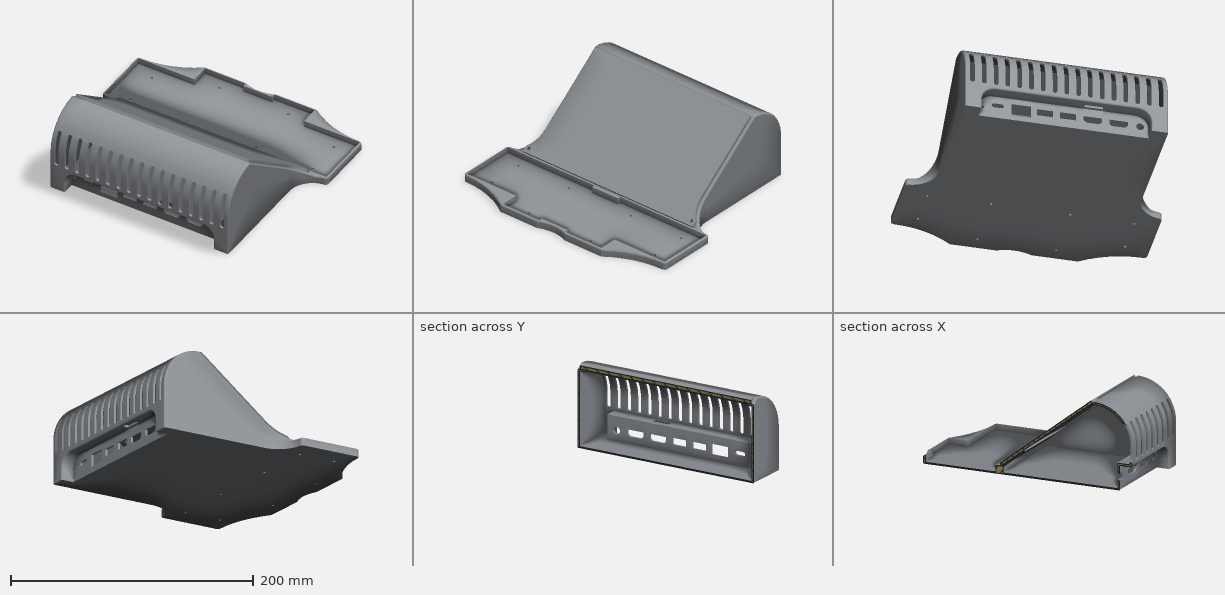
import cadquery as cq
import math

TRAY_WIDTH = 217.2
TOTAL_DEPTH = 194.2
TRAY_HEIGHT = 7.2
TRAY_FRONT_Y = 120.0
SLOPE_FOOT_Y = 119.7
TRAY_SHOULDER_Y = 177.0
TRAY_BACK_HALF_WIDTH = 54.3
TRAY_CORNER_RADIUS = 3.0
BACK_NOTCH_HALF_WIDTH = 15.0
BACK_NOTCH_DEPTH = 3.3

CASE_WIDTH = 172.0
CASE_TOP_RADIUS = 34.8
CASE_ARC_START_Z = 38.0
FLARE_RADIUS = 22.4
EDGE_RADIUS = 1.5
WALL = 2.0
FLOOR = 1.3

CLEAR = 1.0

POCKET_FRONT_Y = 121.8
POCKET_NARROW_HALF_WIDTH = 53.0
TRAY_RIM = 1.63
TRAY_OVERLAP = 8.7
PAD_HALF_WIDTH = 14.0
FRONT_PAD_BACK_Y = 124.7
BACK_PAD_FRONT_Y = 189.0
TRAY_HOLE_DIAMETER = 2.2
OUTER_HOLE_X = 87.7
INNER_HOLE_X = 33.5
FRONT_HOLE_Y = 131.5
OUTER_BACK_HOLE_Y = 165.0
INNER_BACK_HOLE_Y = 182.5

SLOT_COUNT = 17
SLOT_PITCH = 10.0
SLOT_WIDTH = 4.0
SLOT_BOTTOM_Z = 25.2
SLOT_TOP_Z = 57.5
VENT_DEPTH = 17.4

RECESS_HALF_WIDTH = 72.0
RECESS_HEIGHT = 21.3
RECESS_CORNER_RADIUS = 11.7
RECESS_DEPTH = 11.3
LEDGE_HOLE_X = (17.0, 32.5)
LEDGE_HOLE_Y = (3.5, 8.7)

RESET_HOLE = (-68.9, 9.1, 2.2)
AUDIO_HOLE = (64.7, 10.6, 6.5)
USB_C = (-55.8, 12.4, 10.0, 4.0)
NETWORK = (-36.0, 10.2, 16.3, 11.5)
NETWORK_SILL_Z = 7.2
USB_Z = 11.3
USB_X = (-15.9, 3.5)
USB_WIDTH = 13.5
USB_HEIGHT = 6.0
HDMI_Z = 10.6
HDMI_X = (24.5, 46.5)
HDMI_WIDTH = 15.6
HDMI_HEIGHT = 6.0
HDMI_CHAMFER = 2.2

PANEL_THICKNESS = 2.4
PANEL_LENGTH = 105.5
PANEL_HALF_WIDTH = 83.5
PANEL_FOOT_HALF_WIDTH = 91.5
PANEL_FLARE_RADIUS = 30.5
PANEL_FLARE_START = 26.0
PANEL_HOLE_DIAMETER = 3.3
PANEL_HOLE_FROM_FOOT = 4.0
OPENING_MARGIN = 5.5

TRAY_HALF = TRAY_WIDTH / 2
CASE_HALF = CASE_WIDTH / 2
CASE_TOP_Z = CASE_ARC_START_Z + CASE_TOP_RADIUS
SLOPE_ANGLE = math.atan2(CASE_TOP_Z - TRAY_HEIGHT, SLOPE_FOOT_Y - CASE_TOP_RADIUS)
SHOULDER_START_X = TRAY_HALF - TRAY_CORNER_RADIUS
FLARE_CENTER_X = CASE_HALF + FLARE_RADIUS
FLARE_START_Y = TRAY_FRONT_Y - FLARE_RADIUS


def box(x0, x1, y0, y1, z0, z1):
    """Box between opposite corners."""
    return cq.Workplane("XY").box(x1 - x0, y1 - y0, z1 - z0, centered=False).translate((x0, y0, z0))


def front_prism(outline):
    """Extrude an XZ outline through the wall at the back of the connector recess."""
    return outline.extrude(-WALL).translate((0, RECESS_DEPTH, 0))


def plan_outline():
    """Footprint: narrow case in front, flared into the wide tray with curved shoulders behind."""
    diagonal = FLARE_RADIUS * math.sqrt(0.5)
    flare_mid = (FLARE_CENTER_X - diagonal, FLARE_START_Y + diagonal)
    flare_end_y = FLARE_START_Y + math.sqrt(FLARE_RADIUS**2 - (FLARE_CENTER_X - TRAY_HALF) ** 2)
    run = SHOULDER_START_X - TRAY_BACK_HALF_WIDTH
    rise = TOTAL_DEPTH - TRAY_SHOULDER_Y
    radius = (run**2 + rise**2) / (2 * rise)
    half_run = run / 2
    shoulder_mid = (
        SHOULDER_START_X - half_run,
        TRAY_SHOULDER_Y + radius - math.sqrt(radius**2 - half_run**2),
    )
    return (
        cq.Workplane("XY")
        .moveTo(-CASE_HALF, 0)
        .lineTo(CASE_HALF, 0)
        .lineTo(CASE_HALF, FLARE_START_Y)
        .threePointArc(flare_mid, (TRAY_HALF, flare_end_y))
        .lineTo(TRAY_HALF, TRAY_SHOULDER_Y - TRAY_CORNER_RADIUS)
        .radiusArc((SHOULDER_START_X, TRAY_SHOULDER_Y), -TRAY_CORNER_RADIUS)
        .threePointArc(shoulder_mid, (TRAY_BACK_HALF_WIDTH, TOTAL_DEPTH))
        .lineTo(BACK_NOTCH_HALF_WIDTH, TOTAL_DEPTH)
        .threePointArc((0, TOTAL_DEPTH - BACK_NOTCH_DEPTH), (-BACK_NOTCH_HALF_WIDTH, TOTAL_DEPTH))
        .lineTo(-TRAY_BACK_HALF_WIDTH, TOTAL_DEPTH)
        .threePointArc((-shoulder_mid[0], shoulder_mid[1]), (-SHOULDER_START_X, TRAY_SHOULDER_Y))
        .radiusArc((-TRAY_HALF, TRAY_SHOULDER_Y - TRAY_CORNER_RADIUS), -TRAY_CORNER_RADIUS)
        .lineTo(-TRAY_HALF, flare_end_y)
        .threePointArc((-flare_mid[0], flare_mid[1]), (-CASE_HALF, FLARE_START_Y))
        .close()
    )


def side_profile():
    """Side outline: flat tray, slope and quarter-round front top, over the full width."""
    diagonal = CASE_TOP_RADIUS * math.sqrt(0.5)
    return (
        cq.Workplane("YZ")
        .moveTo(0, 0)
        .lineTo(TOTAL_DEPTH, 0)
        .lineTo(TOTAL_DEPTH, TRAY_HEIGHT)
        .lineTo(SLOPE_FOOT_Y, TRAY_HEIGHT)
        .lineTo(CASE_TOP_RADIUS, CASE_TOP_Z)
        .threePointArc(
            (CASE_TOP_RADIUS - diagonal, CASE_ARC_START_Z + diagonal),
            (0, CASE_ARC_START_Z),
        )
        .close()
        .extrude(TRAY_HALF, both=True)
    )


def is_outer_top_edge(edge):
    """True for the upper rim edges and the upright front corners, but not for edges across the case."""
    box_of_edge = edge.BoundingBox()
    spans_case = box_of_edge.xmax > CASE_HALF - EDGE_RADIUS and box_of_edge.xmin < EDGE_RADIUS - CASE_HALF
    on_bottom = box_of_edge.zmax < EDGE_RADIUS
    upright = box_of_edge.xlen + box_of_edge.ylen < EDGE_RADIUS
    front_corner = upright and box_of_edge.ymax < EDGE_RADIUS
    return front_corner or not (spans_case or on_bottom or upright)


def footprint():
    """Full-height block over the plan outline with rounded front tray corners."""
    block = plan_outline().extrude(CASE_TOP_Z)
    front_corners = cq.selectors.BoxSelector(
        (-TRAY_WIDTH, FLARE_START_Y + CLEAR, 0),
        (TRAY_WIDTH, TRAY_FRONT_Y + CLEAR, CASE_TOP_Z),
    )
    return block.edges("|Z").edges(front_corners).fillet(TRAY_CORNER_RADIUS)


def rounded_tray(block):
    """Low rear slab, rounded along its outer top edge."""
    front_y = SLOPE_FOOT_Y - TRAY_OVERLAP
    slab = block.intersect(box(-TRAY_HALF, TRAY_HALF, front_y, TOTAL_DEPTH, 0, TRAY_HEIGHT))
    outer_edges = cq.selectors.BoxSelector(
        (-TRAY_WIDTH, front_y + CLEAR, 0),
        (TRAY_WIDTH, TOTAL_DEPTH + CLEAR, TRAY_HEIGHT + CLEAR),
    )
    return slab.faces(">Z").edges().edges(outer_edges).fillet(EDGE_RADIUS)


def rounded_case(block):
    """Wedge-shaped front case, rounded along both sides."""
    case = block.intersect(side_profile())
    case = case.intersect(box(-TRAY_HALF, TRAY_HALF, 0, SLOPE_FOOT_Y, 0, CASE_TOP_Z))
    rim = [edge for edge in case.edges().vals() if is_outer_top_edge(edge)]
    return case.newObject(rim).fillet(EDGE_RADIUS)


def slope_plane():
    """Plane on the slope with its origin at the foot, local Y running up the slope, Z outward."""
    return cq.Plane(
        origin=(0, SLOPE_FOOT_Y, TRAY_HEIGHT),
        xDir=(-1, 0, 0),
        normal=(0, math.sin(SLOPE_ANGLE), math.cos(SLOPE_ANGLE)),
    )


def tray_pocket():
    """T-shaped pocket in the tray with a raised pad at the middle of the front and back walls."""
    wide_half = TRAY_HALF - TRAY_RIM
    wide_back = TRAY_SHOULDER_Y - TRAY_RIM
    narrow_back = TOTAL_DEPTH - TRAY_RIM
    pocket = box(-wide_half, wide_half, POCKET_FRONT_Y, wide_back, FLOOR, CASE_TOP_Z)
    pocket = pocket.union(
        box(
            -POCKET_NARROW_HALF_WIDTH, POCKET_NARROW_HALF_WIDTH,
            POCKET_FRONT_Y, narrow_back, FLOOR, CASE_TOP_Z,
        )
    )
    for y0, y1 in ((POCKET_FRONT_Y, FRONT_PAD_BACK_Y), (BACK_PAD_FRONT_Y, narrow_back)):
        pocket = pocket.cut(box(-PAD_HALF_WIDTH, PAD_HALF_WIDTH, y0, y1, FLOOR, CASE_TOP_Z))
    return pocket


def tray_holes():
    """Screw holes through the tray floor, mirrored left and right."""
    points = []
    for side in (-1, 1):
        points.append((side * OUTER_HOLE_X, FRONT_HOLE_Y))
        points.append((side * INNER_HOLE_X, FRONT_HOLE_Y))
        points.append((side * OUTER_HOLE_X, OUTER_BACK_HOLE_Y))
        points.append((side * INNER_HOLE_X, INNER_BACK_HOLE_Y))
    return cq.Workplane("XY").pushPoints(points).circle(TRAY_HOLE_DIAMETER / 2).extrude(TRAY_HEIGHT)


def connector_recess():
    """Arch-shaped recess open at the front and bottom of the case."""
    half = RECESS_HALF_WIDTH
    block = box(-half, half, 0, RECESS_DEPTH, 0, RECESS_HEIGHT)
    return block.edges("|Y and >Z").fillet(RECESS_CORNER_RADIUS)


def recess_surround():
    """Block of solid material kept around the connector recess, flat on top."""
    half = RECESS_HALF_WIDTH + WALL
    return box(-half, half, 0, RECESS_DEPTH + WALL, 0, RECESS_HEIGHT + WALL)


def cavity():
    """Hollow inside of the case; it keeps clear of the connector recess and the tray pocket."""
    inner_radius = CASE_TOP_RADIUS - WALL
    diagonal = inner_radius * math.sqrt(0.5)
    top_z = CASE_TOP_Z - WALL
    back_y = POCKET_FRONT_Y - 2 * WALL
    back_z = TRAY_HEIGHT - WALL + (SLOPE_FOOT_Y - back_y) * math.tan(SLOPE_ANGLE)
    hollow = (
        cq.Workplane("YZ")
        .moveTo(WALL, FLOOR)
        .lineTo(back_y, FLOOR)
        .lineTo(back_y, back_z)
        .lineTo(CASE_TOP_RADIUS, top_z)
        .threePointArc(
            (CASE_TOP_RADIUS - diagonal, CASE_ARC_START_Z + diagonal),
            (WALL, CASE_ARC_START_Z),
        )
        .close()
        .extrude(CASE_HALF - WALL, both=True)
    )
    return hollow.cut(recess_surround())


def slope_opening():
    """Opening through the slope, covered by the panel."""
    half = PANEL_HALF_WIDTH - OPENING_MARGIN
    length = PANEL_LENGTH - PANEL_FLARE_START - OPENING_MARGIN
    return (
        cq.Workplane(slope_plane())
        .rect(2 * half, length)
        .extrude(-2 * WALL)
        .translate(slope_plane().yDir * (PANEL_FLARE_START + length / 2))
    )


def vent_slots():
    """Row of upright round-ended slots through the front wall."""
    length = SLOT_TOP_Z - SLOT_BOTTOM_Z
    return (
        cq.Workplane("XZ", origin=(0, 0, (SLOT_TOP_Z + SLOT_BOTTOM_Z) / 2))
        .rarray(SLOT_PITCH, 2.2, SLOT_COUNT, 1)
        .slot2D(length, SLOT_WIDTH, 90)
        .extrude(-VENT_DEPTH)
    )


def round_port(port):
    x, z, diameter = port
    return front_prism(cq.Workplane("XZ").center(x, z).circle(diameter / 2))


def rectangular_port(x, z, width, height):
    return front_prism(cq.Workplane("XZ").center(x, z).rect(width, height))


def hdmi_port(x):
    block = rectangular_port(x, HDMI_Z, HDMI_WIDTH, HDMI_HEIGHT)
    return block.edges("|Y and <Z").chamfer(HDMI_CHAMFER)


def network_port():
    """Rectangular opening whose sill rises toward the inside."""
    x, z, width, height = NETWORK
    bottom = z - height / 2
    top = z + height / 2
    inner_y = RECESS_DEPTH + WALL
    return (
        cq.Workplane("YZ", origin=(x, 0, 0))
        .moveTo(RECESS_DEPTH, bottom)
        .lineTo(inner_y, NETWORK_SILL_Z)
        .lineTo(inner_y, top)
        .lineTo(RECESS_DEPTH, top)
        .close()
        .extrude(width / 2, both=True)
    )


def connector_openings():
    x, z, width, height = USB_C
    usb_c = front_prism(cq.Workplane("XZ").center(x, z).slot2D(width, height))
    openings = [round_port(RESET_HOLE), round_port(AUDIO_HOLE), usb_c, network_port()]
    openings += [rectangular_port(usb_x, USB_Z, USB_WIDTH, USB_HEIGHT) for usb_x in USB_X]
    openings += [hdmi_port(hdmi_x) for hdmi_x in HDMI_X]
    return openings


def ledge_hole():
    """Small opening through the roof of the connector recess."""
    return box(*LEDGE_HOLE_X, *LEDGE_HOLE_Y, RECESS_HEIGHT - WALL, RECESS_HEIGHT + 2 * WALL)


def make_housing():
    """Hollow case and tray in one body, with all openings cut."""
    block = footprint()
    housing = rounded_case(block).union(rounded_tray(block))
    housing = housing.cut(tray_pocket()).cut(tray_holes())
    housing = housing.cut(connector_recess())
    recess_edges = cq.selectors.BoxSelector(
        (-RECESS_HALF_WIDTH - CLEAR, -CLEAR, CLEAR),
        (RECESS_HALF_WIDTH + CLEAR, CLEAR, RECESS_HEIGHT + CLEAR),
    )
    housing = housing.edges(recess_edges).fillet(EDGE_RADIUS)
    housing = housing.cut(cavity()).cut(slope_opening()).cut(vent_slots())
    housing = housing.cut(ledge_hole())
    for opening in connector_openings():
        housing = housing.cut(opening)
    return housing


def make_panel():
    """Plate lying on the slope, widening along two curves toward its foot."""
    foot = PANEL_FOOT_HALF_WIDTH
    flare_x = PANEL_HALF_WIDTH + PANEL_FLARE_RADIUS
    foot_v = PANEL_FLARE_START - math.sqrt(PANEL_FLARE_RADIUS**2 - (flare_x - foot) ** 2)
    holes = [(side * OUTER_HOLE_X, PANEL_HOLE_FROM_FOOT) for side in (-1, 1)]
    plate = (
        cq.Workplane(slope_plane())
        .moveTo(-foot, 0)
        .lineTo(foot, 0)
        .lineTo(foot, foot_v)
        .radiusArc((PANEL_HALF_WIDTH, PANEL_FLARE_START), PANEL_FLARE_RADIUS)
        .lineTo(PANEL_HALF_WIDTH, PANEL_LENGTH)
        .lineTo(-PANEL_HALF_WIDTH, PANEL_LENGTH)
        .lineTo(-PANEL_HALF_WIDTH, PANEL_FLARE_START)
        .radiusArc((-foot, foot_v), PANEL_FLARE_RADIUS)
        .close()
        .extrude(PANEL_THICKNESS)
    )
    hole_tool = cq.Workplane(slope_plane()).pushPoints(holes).circle(PANEL_HOLE_DIAMETER / 2)
    return plate.cut(hole_tool.extrude(PANEL_THICKNESS))


housing = make_housing()
panel = make_panel()
result = cq.Compound.makeCompound([housing.val(), panel.val()])